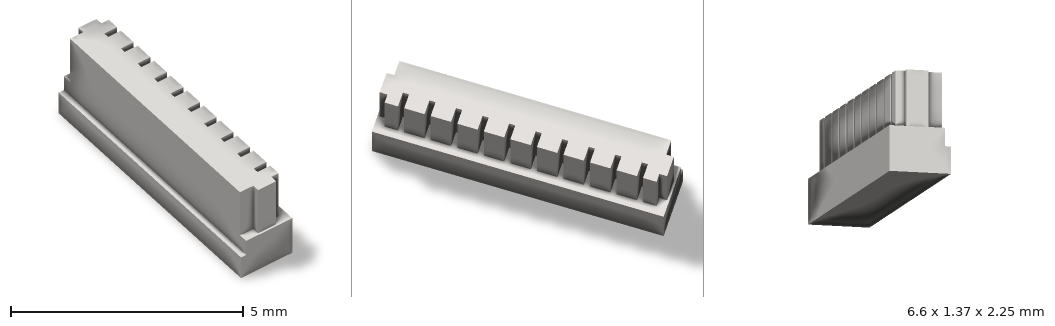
import cadquery as cq

length = 6.6
depth = 1.37
height = 2.25
base_height = 1.0
lip_height = 0.6
lip_depth = 0.14

wall_length = 6.15
wall_depth = 1.035

rib_span = 6.5
rib_depth = 0.48
rib_setback = 0.355

slot_count = 10
slot_pitch = 0.6
slot_width = 0.14
slot_depth = 0.34

wall_height = height - base_height
wall_front = lip_depth
wall_back = wall_front + wall_depth


def centred_block(size_x, front, size_y, bottom, size_z, x=0):
    """Box centred on x, placed by its front and bottom faces."""
    block = cq.Workplane("XY").box(size_x, size_y, size_z, centered=(True, False, False))
    return block.translate((x, front, bottom))


def make_base():
    lip = centred_block(length, 0, depth, 0, lip_height)
    body = centred_block(length, lip_depth, depth - lip_depth, 0, base_height)
    return lip.union(body)


def make_wall():
    wall = centred_block(wall_length, wall_front, wall_depth, base_height, wall_height)
    ribs = centred_block(rib_span, wall_front + rib_setback, rib_depth, base_height, wall_height)
    wall = wall.union(ribs)
    for index in range(slot_count):
        x = (index - (slot_count - 1) / 2) * slot_pitch
        slot = centred_block(slot_width, wall_back - slot_depth, slot_depth, base_height, wall_height, x)
        wall = wall.cut(slot)
    return wall


result = make_base().union(make_wall())